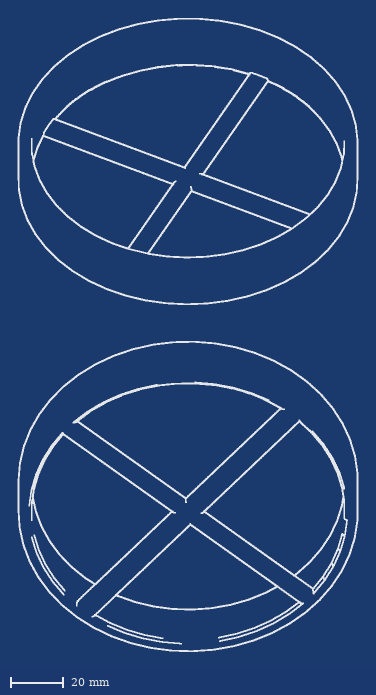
import cadquery as cq

outer_diameter = 129.0
inner_diameter = 119.0
ring_height = 22.0

x_bar_width = 8.9
y_bar_width = 7.6
bar_thickness = 2.0

ring_edge_radius = 1.0
bar_edge_radius = 0.8

bar_length = (outer_diameter + inner_diameter) / 2


def make_ring():
    """Ring standing on the XY plane, rounded on all four circular edges."""
    return (
        cq.Workplane("XY")
        .circle(outer_diameter / 2)
        .circle(inner_diameter / 2)
        .extrude(ring_height)
        .faces("<Z or >Z")
        .edges()
        .fillet(ring_edge_radius)
    )


def make_bar(width):
    """Flat bar along X, centred on the ring axis, rounded along its long edges."""
    return (
        cq.Workplane("XY")
        .rect(bar_length, width)
        .extrude(bar_thickness)
        .edges("|X")
        .fillet(bar_edge_radius)
    )


x_bar = make_bar(x_bar_width)
y_bar = make_bar(y_bar_width).rotate((0, 0, 0), (0, 0, 1), 90)
result = make_ring().union(x_bar).union(y_bar)